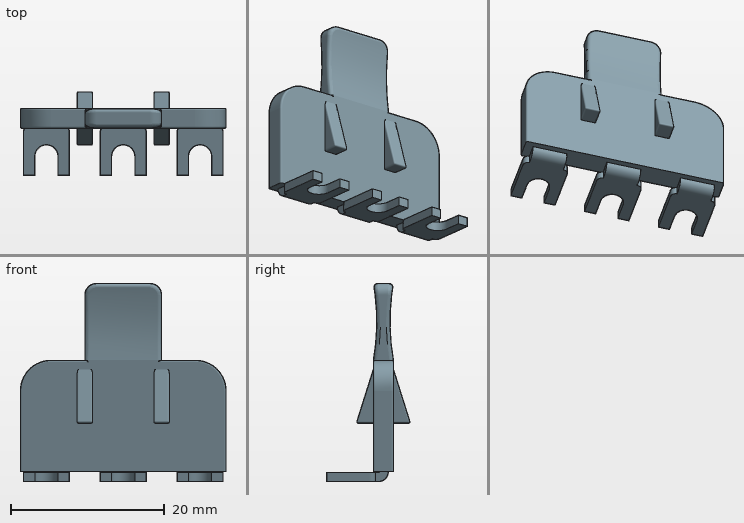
import cadquery as cq

plate_width = 26.8
plate_thickness = 2.64
plate_height = 14.5
plate_corner_radius = 4.0
plate_edge_radius = 0.25

handle_width = 10.0
handle_height = 10.0
handle_waist = 1.76
handle_corner_radius = 1.5
handle_edge_radius = 0.5

rib_spacing = 10.0
rib_width = 2.0
rib_bottom = 6.3
rib_height = 7.0
rib_reach = 2.21
rib_edge_radius = 0.2

terminal_count = 3
terminal_pitch = 10.0
terminal_width = 6.0
terminal_thickness = 1.2
terminal_end_y = -7.4
terminal_shoulder_radius = 0.7
neck_width = terminal_width - 2 * terminal_shoulder_radius
neck_embed = 1.0
bend_inner_radius = 0.1
bend_outer_radius = bend_inner_radius + terminal_thickness
bend_centre_y = -0.65
shoulder_y = -1.05
slot_width = 3.0
slot_straight_length = 2.45

half_thickness = plate_thickness / 2


def make_plate():
    """Slab with two round top corners and softened edges, square at the bottom."""
    slab = (
        cq.Workplane("XY")
        .box(plate_width, plate_thickness, plate_height, centered=(True, True, False))
        .edges("|Y and >Z")
        .fillet(plate_corner_radius)
    )
    face_edges = slab.faces("<Y or >Y").edges("not <Z")
    return face_edges.fillet(plate_edge_radius)


def make_handle():
    """Grip with concave faces; its straight root is sunk into the plate."""
    root_z = plate_height - plate_corner_radius
    top_z = plate_height + handle_height
    waist_z = plate_height + handle_height / 2
    half_waist = handle_waist / 2
    grip = (
        cq.Workplane("YZ")
        .moveTo(-half_thickness, root_z)
        .lineTo(half_thickness, root_z)
        .lineTo(half_thickness, plate_height)
        .threePointArc((half_waist, waist_z), (half_thickness, top_z))
        .lineTo(-half_thickness, top_z)
        .threePointArc((-half_waist, waist_z), (-half_thickness, plate_height))
        .close()
        .extrude(handle_width / 2, both=True)
        .edges("|Y and >Z")
        .fillet(handle_corner_radius)
    )
    return grip.edges("(not |Y) and (not |X or >Z)").fillet(handle_edge_radius)


def make_rib_pair(x):
    """Wedge on each plate face, made as one tapered bar passing through the plate."""
    half_span = half_thickness + rib_reach
    rib_top = rib_bottom + rib_height
    bar = (
        cq.Workplane("YZ", origin=(x, 0, 0))
        .moveTo(-half_span, rib_bottom)
        .lineTo(half_span, rib_bottom)
        .lineTo(half_thickness, rib_top)
        .lineTo(-half_thickness, rib_top)
        .close()
        .extrude(rib_width / 2, both=True)
    )
    return bar.edges("not >Z").fillet(rib_edge_radius)


def make_terminal(x):
    """Strip bent from the plate underside towards -Y, with shoulders and a fork slot."""
    strip = (
        cq.Workplane("YZ", origin=(x, 0, 0))
        .moveTo(bend_centre_y + bend_outer_radius, neck_embed)
        .lineTo(bend_centre_y + bend_outer_radius, 0)
        .radiusArc((bend_centre_y, -bend_outer_radius), bend_outer_radius)
        .lineTo(terminal_end_y, -bend_outer_radius)
        .lineTo(terminal_end_y, -bend_inner_radius)
        .lineTo(bend_centre_y, -bend_inner_radius)
        .radiusArc((bend_centre_y + bend_inner_radius, 0), -bend_inner_radius)
        .lineTo(bend_centre_y + bend_inner_radius, neck_embed)
        .close()
        .extrude(terminal_width / 2, both=True)
    )
    return strip.intersect(make_terminal_outline(x))


def make_terminal_outline(x):
    """Prism of the terminal seen from above: neck, round shoulders and slotted fork."""
    neck_end_y = bend_centre_y + bend_outer_radius
    shoulder_end_y = shoulder_y - terminal_shoulder_radius
    half_neck = neck_width / 2
    half_terminal = terminal_width / 2
    half_slot = slot_width / 2
    slot_centre_y = terminal_end_y + slot_straight_length
    prism_height = bend_outer_radius + neck_embed
    return (
        cq.Workplane("XY", origin=(x, 0, -bend_outer_radius))
        .moveTo(-half_neck, neck_end_y)
        .lineTo(half_neck, neck_end_y)
        .lineTo(half_neck, shoulder_y)
        .radiusArc((half_terminal, shoulder_end_y), terminal_shoulder_radius)
        .lineTo(half_terminal, terminal_end_y)
        .lineTo(half_slot, terminal_end_y)
        .lineTo(half_slot, slot_centre_y)
        .threePointArc((0, slot_centre_y + half_slot), (-half_slot, slot_centre_y))
        .lineTo(-half_slot, terminal_end_y)
        .lineTo(-half_terminal, terminal_end_y)
        .lineTo(-half_terminal, shoulder_end_y)
        .radiusArc((-half_neck, shoulder_y), terminal_shoulder_radius)
        .close()
        .extrude(prism_height)
    )


result = make_plate().union(make_handle())
for rib_x in (-rib_spacing / 2, rib_spacing / 2):
    result = result.union(make_rib_pair(rib_x))
for index in range(terminal_count):
    terminal_x = (index - (terminal_count - 1) / 2) * terminal_pitch
    result = result.union(make_terminal(terminal_x))